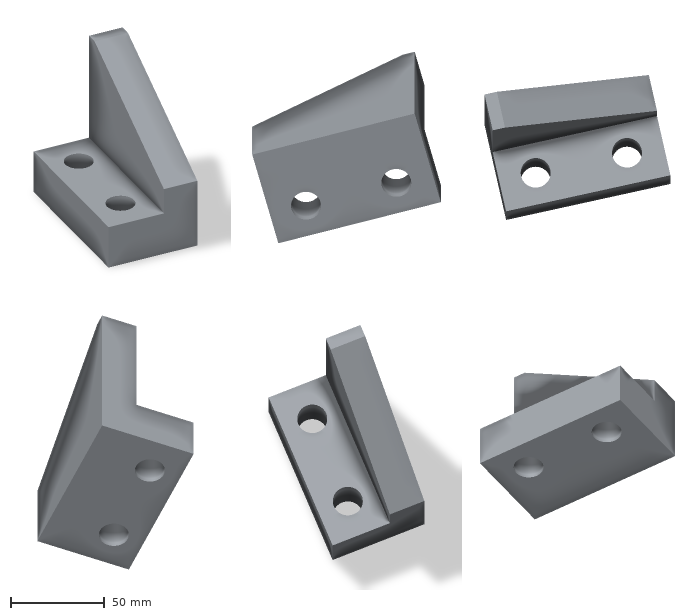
import cadquery as cq
import math

length = 90.0
depth = 53.0
height = 88.0

base_height = 25.0
wall_thickness = 20.0
top_flat = 6.75
slope_angle = 30.0
low_end_height = height - (length - top_flat) * math.tan(math.radians(slope_angle))

hole_diameter = 16.0
hole_end_offset = 20.0
hole_front_offset = 17.0


def make_base():
    return cq.Workplane("XY").box(length, depth, base_height, centered=False)


def make_wall():
    """Upright wall along the back, sloping down towards +X."""
    outline = [
        (0, 0),
        (length, 0),
        (length, low_end_height),
        (top_flat, height),
        (0, height),
    ]
    back_plane = cq.Workplane("XZ", origin=(0, depth, 0))
    return back_plane.polyline(outline).close().extrude(wall_thickness)


def make_holes():
    centers = [(x, hole_front_offset) for x in (hole_end_offset, length - hole_end_offset)]
    return cq.Workplane("XY").pushPoints(centers).circle(hole_diameter / 2).extrude(base_height)


result = make_base().union(make_wall()).cut(make_holes())